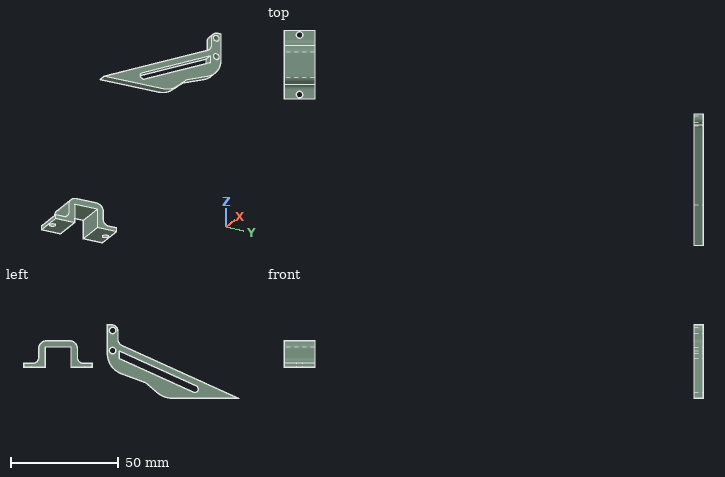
import cadquery as cq
import math

overall_length = 195.3
overall_depth = 100.2
hole_diameter = 3.0

bracket_length = 14.5
bracket_depth = 32.0
bracket_height = 12.5
bracket_base_z = 14.5
channel_width = 12.0
wall = 3.1
flange_thickness = 2.0
crown_radius = 4.0
flange_fillet = 2.5
flange_hole_inset = 2.1

arm_thickness = 4.5
arm_depth = 61.3
arm_height = 34.4
upright_width = 5.0
upright_radius = 3.1
arm_slope = math.radians(24.4)
arm_hole_inset = 2.5
upper_hole_z = 31.6
lower_hole_z = 22.3

heel_z = 13.9
shallow_end_y = 43.4
shallow_end_z = 7.2
base_end_y = 35.0
heel_radius = 10.4
bend_radius = 3.0
base_radius = 11.0

slot_width = 3.1
slot_start_y = 55.7
slot_end_y = 20.5
slot_edge_offset = 4.5


def round_corner(body, y, z, radius):
    """Round the X-parallel edge of body that passes through (y, z)."""
    edge = cq.selectors.NearestToPointSelector((body.val().Center().x, y, z))
    return body.edges("|X").edges(edge).fillet(radius)


def make_bracket():
    half_depth = bracket_depth / 2
    half_hat = channel_width / 2 + wall
    half_channel = channel_width / 2
    center_y = overall_depth - half_depth
    top_z = bracket_base_z + bracket_height
    flange_z = bracket_base_z + flange_thickness

    half_outline = [
        (half_depth, 0),
        (half_depth, flange_thickness),
        (half_hat, flange_thickness),
        (half_hat, bracket_height),
    ]
    channel_outline = [(half_channel, bracket_height - wall), (half_channel, 0)]
    right_side = channel_outline + half_outline
    left_side = [(-y, z) for y, z in reversed(right_side)]
    body = (
        cq.Workplane("YZ", origin=(0, center_y, bracket_base_z))
        .polyline(right_side + left_side)
        .close()
        .extrude(bracket_length)
    )
    for side in (-1, 1):
        wall_y = center_y + side * half_hat
        body = round_corner(body, wall_y, top_z, crown_radius)
        body = round_corner(body, wall_y, flange_z, flange_fillet)

    hole_offset = half_depth - flange_hole_inset
    holes = (
        cq.Workplane("XY", origin=(bracket_length / 2, center_y, bracket_base_z))
        .pushPoints([(0, -hole_offset), (0, hole_offset)])
        .circle(hole_diameter / 2)
        .extrude(flange_thickness)
    )
    return body.cut(holes)


def make_slot(plane):
    def center_z(y):
        return y * math.tan(arm_slope) - slot_edge_offset / math.cos(arm_slope)

    rise = slot_width / 2 / math.cos(arm_slope)
    across_y = slot_width / 2 * math.sin(arm_slope)
    across_z = slot_width / 2 * math.cos(arm_slope)
    along_y = slot_width / 2 * math.cos(arm_slope)
    along_z = slot_width / 2 * math.sin(arm_slope)
    start_z = center_z(slot_start_y)
    end_z = center_z(slot_end_y)
    return (
        plane.moveTo(slot_start_y, start_z + rise)
        .lineTo(slot_end_y - across_y, end_z + across_z)
        .threePointArc(
            (slot_end_y - along_y, end_z - along_z),
            (slot_end_y + across_y, end_z - across_z),
        )
        .lineTo(slot_start_y, start_z - rise)
        .close()
        .extrude(arm_thickness)
    )


def make_arm():
    plane = cq.Workplane("YZ", origin=(overall_length - arm_thickness, 0, 0))
    front_y = arm_depth - upright_width
    upright_foot = (front_y, front_y * math.tan(arm_slope))
    upright_top = (front_y, arm_height)
    heel = (arm_depth, heel_z)
    bend = (shallow_end_y, shallow_end_z)
    base_end = (base_end_y, 0)
    outline = [(0, 0), upright_foot, upright_top, (arm_depth, arm_height), heel, bend, base_end]
    body = plane.polyline(outline).close().extrude(arm_thickness)

    rounded_corners = [
        (upright_top, upright_radius),
        (upright_foot, upright_radius),
        (heel, heel_radius),
        (bend, bend_radius),
        (base_end, base_radius),
    ]
    for (y, z), radius in rounded_corners:
        body = round_corner(body, y, z, radius)

    hole_y = arm_depth - arm_hole_inset
    holes = (
        plane.pushPoints([(hole_y, upper_hole_z), (hole_y, lower_hole_z)])
        .circle(hole_diameter / 2)
        .extrude(arm_thickness)
    )
    return body.cut(holes).cut(make_slot(plane))


bracket = make_bracket()
arm = make_arm()
result = cq.Compound.makeCompound([bracket.val(), arm.val()])